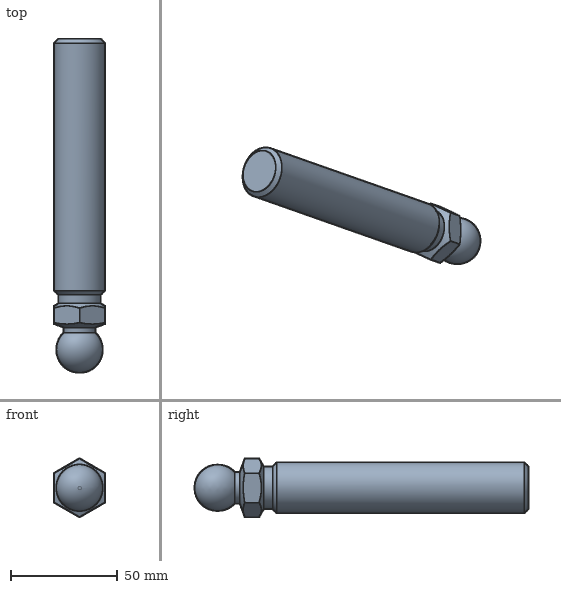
import cadquery as cq
import math

total_length = 157.0
ball_radius = 11.0
tip_flat_radius = 0.8
neck_radius = 7.5
hex_across_flats = 24.0
shaft_radius = hex_across_flats / 2
groove_radius = 10.0
hex_across_corners = hex_across_flats / math.cos(math.radians(30))

tip_y = -math.sqrt(ball_radius**2 - tip_flat_radius**2)
end_y = tip_y + total_length
neck_start_y = math.sqrt(ball_radius**2 - neck_radius**2)
neck_length = 2.4
hex_start_y = neck_start_y + neck_length
hex_length = 11.3
hex_end_y = hex_start_y + hex_length
groove_length = 4.1
groove_end_y = hex_end_y + groove_length
shaft_chamfer = shaft_radius - groove_radius
end_chamfer = 2.0

front_cone_slope = math.tan(math.radians(20))
rear_cone_slope = math.tan(math.radians(30))


def revolve_about_y(profile):
    return profile.close().revolve(360, (0, 0, 0), (0, 1, 0))


def make_ball_and_neck():
    profile = (
        cq.Workplane("XY")
        .moveTo(0, tip_y)
        .lineTo(tip_flat_radius, tip_y)
        .threePointArc((ball_radius, 0), (neck_radius, neck_start_y))
        .lineTo(neck_radius, hex_start_y)
        .lineTo(0, hex_start_y)
    )
    return revolve_about_y(profile)


def make_hex():
    prism = (
        cq.Workplane("XZ", origin=(0, hex_start_y, 0))
        .polygon(6, hex_across_corners)
        .extrude(-hex_length)
        .rotate((0, 0, 0), (0, 1, 0), 90)
    )
    cone_radius = hex_across_corners / 2 + 1.5
    front_rim_y = hex_start_y + (cone_radius - neck_radius) * front_cone_slope
    rear_rim_y = hex_end_y - (cone_radius - groove_radius) * rear_cone_slope
    envelope = (
        cq.Workplane("XY")
        .moveTo(0, hex_start_y)
        .lineTo(neck_radius, hex_start_y)
        .lineTo(cone_radius, front_rim_y)
        .lineTo(cone_radius, rear_rim_y)
        .lineTo(groove_radius, hex_end_y)
        .lineTo(0, hex_end_y)
    )
    return prism.intersect(revolve_about_y(envelope))


def make_groove_and_shaft():
    profile = (
        cq.Workplane("XY")
        .moveTo(0, hex_end_y)
        .lineTo(groove_radius, hex_end_y)
        .lineTo(groove_radius, groove_end_y)
        .lineTo(shaft_radius, groove_end_y + shaft_chamfer)
        .lineTo(shaft_radius, end_y - end_chamfer)
        .lineTo(shaft_radius - end_chamfer, end_y)
        .lineTo(0, end_y)
    )
    return revolve_about_y(profile)


result = make_ball_and_neck().union(make_hex()).union(make_groove_and_shaft())